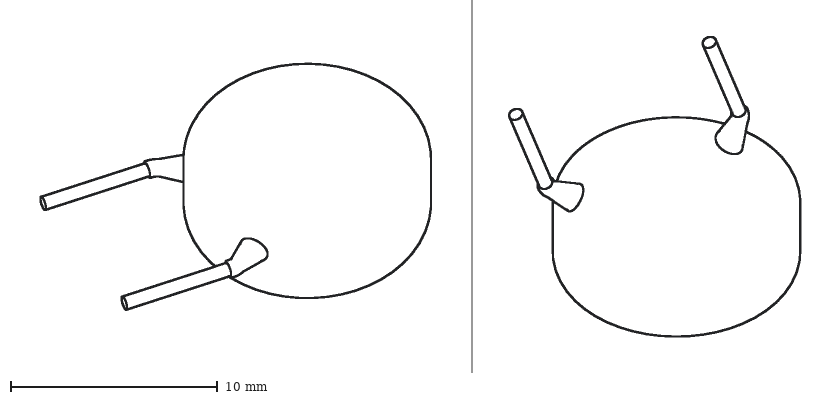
import cadquery as cq
import math

disc_diameter = 12.0
disc_height = 5.0
rim_fillet = 1.0
disc_radius = disc_diameter / 2

overall_length = 17.83
lead_radius = 0.34
lead_x = 4.85
lead_z = 1.21
lead_tip_y = disc_radius - overall_length

collar_radius = 0.43
collar_length = 0.12
collar_fillet = 0.07
elbow_y = -6.2
bend_radius = 0.75
bend_angle = 36.0
bend_tilt = 16.0
cone_length = 1.78
cone_half_angle = 11.0
cone_end_radius = collar_radius + cone_length * math.tan(math.radians(cone_half_angle))

branch_turns = (0, 180)


def straight_rod(radius, length):
    """Rod that ends at the bend start and runs in -Y."""
    return cq.Workplane("XZ").circle(radius).extrude(length)


def elbow(radius):
    """Round bend that leaves the origin in +Y and curves towards +X."""
    return (
        cq.Workplane("XZ")
        .circle(radius)
        .revolve(bend_angle, (bend_radius, 0, 0), (bend_radius, -1, 0))
    )


def cone():
    """Cone that continues from the far end of the elbow."""
    angle = math.radians(bend_angle)
    direction = cq.Vector(math.sin(angle), math.cos(angle), 0)
    start = cq.Vector(bend_radius * (1 - math.cos(angle)), bend_radius * math.sin(angle), 0)
    return cq.Workplane(
        cq.Solid.makeCone(collar_radius, cone_end_radius, cone_length, start, direction)
    )


def place_branch(shape, turn):
    """Move a shape from the bend start to its place on the left or right."""
    return (
        shape.rotate((0, 0, 0), (0, 1, 0), -bend_tilt)
        .translate((-lead_x, elbow_y, -lead_z))
        .rotate((0, 0, 0), (0, 1, 0), turn)
    )


def make_lead(turn):
    """Wire whose bent inner end fills the elbow of the coating."""
    wire = straight_rod(lead_radius, elbow_y - lead_tip_y).union(elbow(lead_radius))
    return place_branch(wire, turn)


def make_coating_branch(turn):
    """Coating that covers the bend of one lead."""
    collar = straight_rod(collar_radius, collar_length).faces("<Y").edges().fillet(collar_fillet)
    return place_branch(collar.union(elbow(collar_radius)).union(cone()), turn)


def make_coating(leads):
    """Disc with rounded rims and two branches, hollowed where the leads sit."""
    coating = (
        cq.Workplane("XY", origin=(0, 0, -disc_height / 2))
        .circle(disc_radius)
        .extrude(disc_height)
        .edges("%CIRCLE")
        .fillet(rim_fillet)
    )
    for turn in branch_turns:
        coating = coating.union(make_coating_branch(turn))
    for lead in leads:
        coating = coating.cut(lead)
    return coating


leads = [make_lead(turn) for turn in branch_turns]
coating = make_coating(leads)

result = cq.Compound.makeCompound([coating.solids().val(), *[lead.solids().val() for lead in leads]])